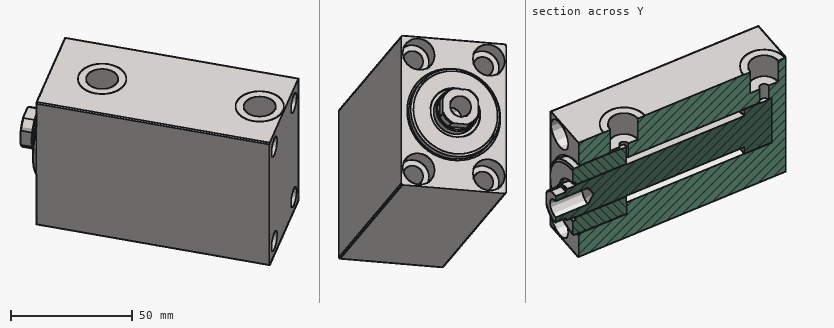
import cadquery as cq
import math


TOTAL_LENGTH = 111.0
ROD_REACH = 11.0
HOUSING_LENGTH = TOTAL_LENGTH - ROD_REACH
HOUSING_WIDTH = 45.0
HOUSING_HEIGHT = 65.0
HOUSING_EDGE_CHAMFER = 0.5

BOLT_SPACING_Y = 30.0
BOLT_SPACING_Z = 50.0
BOLT_HOLE_DIAMETER = 8.5
BOLT_HEAD_DIAMETER = 13.5
BOLT_HEAD_DEPTH = 9.0

GLAND_DIAMETER = 38.0
GLAND_REACH = 2.8
GLAND_DEPTH = 23.3
GLAND_CHAMFER_LENGTH = 0.5
GLAND_CHAMFER_HEIGHT = 1.0
GLAND_RECESS_DIAMETER = 21.3
GLAND_RECESS_DEPTH = 1.3
SEAT_CHAMFER = 1.0

ROD_DIAMETER = 18.0
ROD_CHAMFER = 0.5
PISTON_DIAMETER = 25.0
PISTON_LENGTH = 13.3
BORE_DEPTH = 93.2

TIP_LENGTH = 5.0
TIP_DIAMETER = ROD_DIAMETER - 2 * ROD_CHAMFER
TIP_CHAMFER = 0.3
TIP_FLATS = 15.1
TIP_HOLE_DIAMETER = 9.0
TIP_HOLE_DEPTH = 15.5
DRILL_POINT_ANGLE = 118.0

PORT_POSITIONS = (22.0, 89.6)
PORT_FACE_DIAMETER = 20.0
PORT_FACE_DEPTH = 0.1
PORT_DIAMETER = 13.2
PORT_DEPTH = 12.0
PORT_PASSAGE_DIAMETER = 4.0


def x_cylinder(diameter, start, end):
    """Solid cylinder on the X axis between two X positions."""
    return cq.Workplane("YZ", origin=(start, 0, 0)).circle(diameter / 2).extrude(end - start)


def revolve_about_x(outline):
    """Turn an outline of (X, radius) points about the X axis."""
    return cq.Workplane("XZ").polyline(outline).close().revolve(360, (0, 0, 0), (1, 0, 0))


def port_cutter(x):
    """Spot face, threaded port and narrow passage down to the bore axis."""
    top = cq.Workplane("XY", origin=(x, 0, HOUSING_HEIGHT / 2))
    spot_face = top.circle(PORT_FACE_DIAMETER / 2).extrude(-PORT_FACE_DEPTH)
    port = top.circle(PORT_DIAMETER / 2).extrude(-PORT_DEPTH)
    passage = top.circle(PORT_PASSAGE_DIAMETER / 2).extrude(-HOUSING_HEIGHT / 2)
    return spot_face.union(port).union(passage)


def make_housing():
    block = (
        cq.Workplane("XY")
        .box(HOUSING_LENGTH, HOUSING_WIDTH, HOUSING_HEIGHT)
        .translate((HOUSING_LENGTH / 2, 0, 0))
        .edges("|X")
        .chamfer(HOUSING_EDGE_CHAMFER)
    )
    block = (
        block.faces("<X")
        .workplane(origin=(0, 0, 0))
        .rect(BOLT_SPACING_Y, BOLT_SPACING_Z, forConstruction=True)
        .vertices()
        .cboreHole(BOLT_HOLE_DIAMETER, BOLT_HEAD_DIAMETER, BOLT_HEAD_DEPTH)
    )
    for x in PORT_POSITIONS:
        block = block.cut(port_cutter(x))

    seat_radius = GLAND_DIAMETER / 2
    bore_radius = PISTON_DIAMETER / 2
    cavity = revolve_about_x([
        (0, 0),
        (0, seat_radius + SEAT_CHAMFER),
        (SEAT_CHAMFER, seat_radius),
        (GLAND_DEPTH, seat_radius),
        (GLAND_DEPTH, bore_radius),
        (BORE_DEPTH, bore_radius),
        (BORE_DEPTH, 0),
    ])
    return block.cut(cavity)


def make_gland():
    outer_radius = GLAND_DIAMETER / 2
    recess_radius = GLAND_RECESS_DIAMETER / 2
    rod_radius = ROD_DIAMETER / 2
    recess_floor = GLAND_RECESS_DEPTH - GLAND_REACH
    return revolve_about_x([
        (-GLAND_REACH, recess_radius),
        (-GLAND_REACH, outer_radius - GLAND_CHAMFER_HEIGHT),
        (GLAND_CHAMFER_LENGTH - GLAND_REACH, outer_radius),
        (GLAND_DEPTH, outer_radius),
        (GLAND_DEPTH, rod_radius),
        (recess_floor, rod_radius),
        (recess_floor, recess_radius),
    ])


def make_rod():
    tip_end = -ROD_REACH
    shoulder = tip_end + TIP_LENGTH
    piston_front = BORE_DEPTH - PISTON_LENGTH
    tip_radius = TIP_DIAMETER / 2
    rod_radius = ROD_DIAMETER / 2
    piston_radius = PISTON_DIAMETER / 2
    body = revolve_about_x([
        (tip_end, 0),
        (tip_end, tip_radius - TIP_CHAMFER),
        (tip_end + TIP_CHAMFER, tip_radius),
        (shoulder, tip_radius),
        (shoulder + ROD_CHAMFER, rod_radius),
        (piston_front, rod_radius),
        (piston_front, piston_radius),
        (BORE_DEPTH, piston_radius),
        (BORE_DEPTH, 0),
    ])

    square = cq.Workplane("YZ", origin=(tip_end, 0, 0)).rect(TIP_FLATS, TIP_FLATS).extrude(TIP_LENGTH)
    flats_waste = x_cylinder(ROD_DIAMETER, tip_end, shoulder).cut(square)

    hole_cutter = x_cylinder(TIP_HOLE_DIAMETER, tip_end, tip_end + TIP_HOLE_DEPTH)
    hole_radius = TIP_HOLE_DIAMETER / 2
    point_length = hole_radius / math.tan(math.radians(DRILL_POINT_ANGLE / 2))
    drill_point = revolve_about_x([
        (tip_end + TIP_HOLE_DEPTH, 0),
        (tip_end + TIP_HOLE_DEPTH, hole_radius),
        (tip_end + TIP_HOLE_DEPTH + point_length, 0),
    ])
    return body.cut(flats_waste).cut(hole_cutter.union(drill_point))


housing = make_housing()
gland = make_gland()
rod = make_rod()

result = cq.Compound.makeCompound([housing.val(), gland.val(), rod.val()])